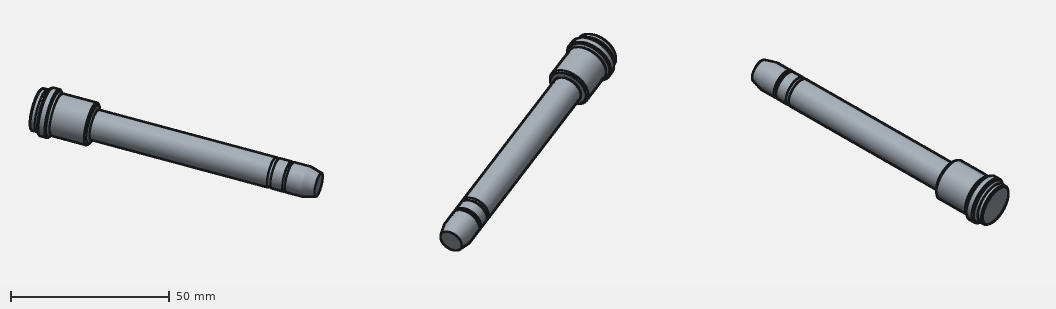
import cadquery as cq

length = 95.0
head_radius = 14.0 / 2
flange_radius = 16.0 / 2
shank_radius = 10.0 / 2
tip_radius = 7.8 / 2

end_chamfer = 0.4
disc_end = 1.8
flange_start = 2.85
flange_end = 5.9
flange_chamfer_length = 0.6
flange_chamfer_height = 0.4
flange_back_chamfer = 0.4
collar_start = 6.8
collar_end = 19.0
collar_chamfer = 0.6
head_groove_depth = 0.5

relief_end = 19.6
relief_depth = 0.3
groove_depth = 0.5
groove_spans = [(79.4, 80.6), (84.55, 85.4)]
taper_start = 91.0


def add_rounded_groove(profile, start, end, radius, depth):
    """Continue a profile at the given radius with a concave arc groove."""
    return (
        profile.lineTo(start, radius)
        .threePointArc(((start + end) / 2, radius - depth), (end, radius))
    )


profile = (
    cq.Workplane("XY")
    .moveTo(0, 0)
    .lineTo(0, head_radius - end_chamfer)
    .lineTo(end_chamfer, head_radius)
)
profile = add_rounded_groove(profile, disc_end, flange_start, head_radius, head_groove_depth)
profile = (
    profile.lineTo(flange_start, flange_radius - flange_chamfer_height)
    .lineTo(flange_start + flange_chamfer_length, flange_radius)
    .lineTo(flange_end - flange_back_chamfer, flange_radius)
    .lineTo(flange_end, flange_radius - flange_back_chamfer)
)
profile = add_rounded_groove(profile, flange_end, collar_start, head_radius, head_groove_depth)
profile = (
    profile.lineTo(collar_end - collar_chamfer, head_radius)
    .lineTo(collar_end, head_radius - collar_chamfer)
)
profile = add_rounded_groove(profile, collar_end, relief_end, shank_radius, relief_depth)
for groove_start, groove_end in groove_spans:
    profile = add_rounded_groove(profile, groove_start, groove_end, shank_radius, groove_depth)
profile = (
    profile.lineTo(taper_start, shank_radius)
    .lineTo(length, tip_radius)
    .lineTo(length, 0)
    .close()
)

result = profile.revolve(360, (0, 0, 0), (1, 0, 0))